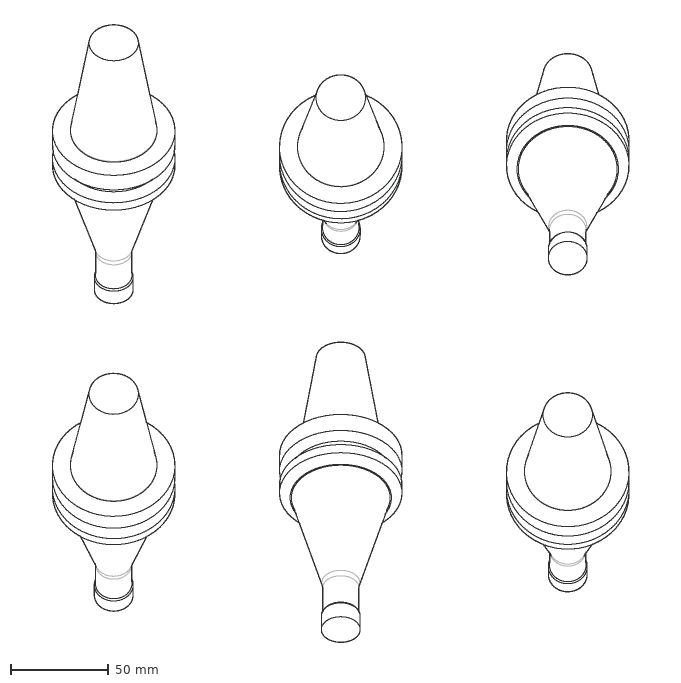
import cadquery as cq
import math

total_height = 185.4

collar_radius = 20.0 / 2
collar_top = 9.5
neck_radius = 18.7 / 2
neck_bottom = 10.5
neck_top = 28.5
blend_radius = 13.0

cone_half_angle = math.radians(15)
cone_top = 90.1

flange_radius = 63 / 2
groove_radius = 53.0 / 2
flange_bottom = 93.3
groove_bottom_edge = 98.8
groove_top_edge = 108.5
flange_top = 119.4
flank_angle = math.radians(30)

shank_radius = 44.5 / 2
taper_bottom = 120.0
taper_ratio = 7 / 24


def blend_point(angle):
    """Radius and height on the blend arc, at an angle turned from vertical."""
    radius = neck_radius + blend_radius * (1 - math.cos(angle))
    height = neck_top + blend_radius * math.sin(angle)
    return radius, height


blend_middle = blend_point(cone_half_angle / 2)
blend_end = blend_point(cone_half_angle)
cone_top_radius = blend_end[0] + (cone_top - blend_end[1]) * math.tan(cone_half_angle)
underside_radius = flange_radius - (flange_bottom - cone_top) / math.tan(flank_angle)
groove_flank_height = (flange_radius - groove_radius) * math.tan(flank_angle)
shank_end_radius = shank_radius - (total_height - taper_bottom) * taper_ratio / 2

profile = (
    cq.Workplane("XZ")
    .moveTo(0, 0)
    .lineTo(collar_radius, 0)
    .lineTo(collar_radius, collar_top)
    .lineTo(neck_radius, neck_bottom)
    .lineTo(neck_radius, neck_top)
    .threePointArc(blend_middle, blend_end)
    .lineTo(cone_top_radius, cone_top)
    .lineTo(underside_radius, cone_top)
    .lineTo(flange_radius, flange_bottom)
    .lineTo(flange_radius, groove_bottom_edge)
    .lineTo(groove_radius, groove_bottom_edge + groove_flank_height)
    .lineTo(groove_radius, groove_top_edge - groove_flank_height)
    .lineTo(flange_radius, groove_top_edge)
    .lineTo(flange_radius, flange_top)
    .lineTo(shank_radius, flange_top)
    .lineTo(shank_radius, taper_bottom)
    .lineTo(shank_end_radius, total_height)
    .lineTo(0, total_height)
    .close()
)

result = profile.revolve(360, (0, 0, 0), (0, 1, 0))